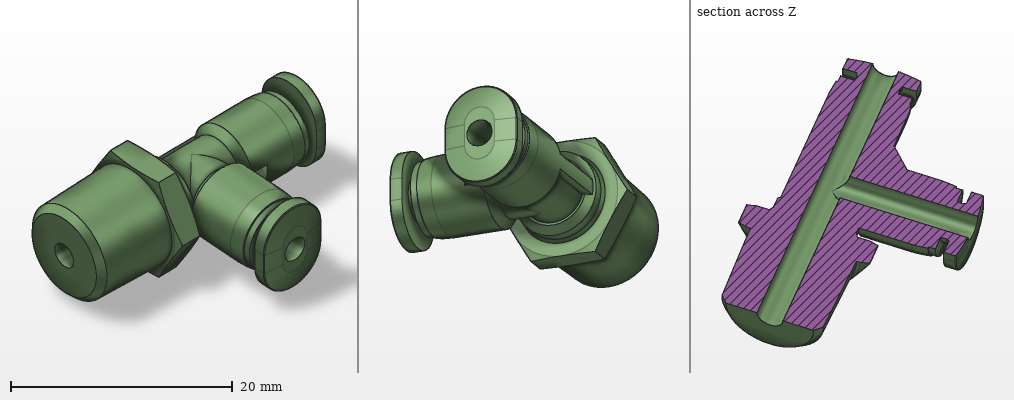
import cadquery as cq
import math


total_length = 29.4
port_reach = 13.6
thread_reach = total_length - port_reach

tube_radius = 3.0
sleeve_radius = 3.8
sleeve_start = 4.0
sleeve_cone_start = sleeve_start - (sleeve_radius - tube_radius)
taper_start = 9.15
taper_end = 10.65
taper_end_radius = 3.65
sleeve_top = 11.32
sleeve_top_radius = 3.5
neck_radius = 2.12
flare_start = 11.88
flare_radius = 2.2

collar_bottom = 12.1
collar_length = 9.2
collar_width = 7.15
collar_flat_radius = 1.47
dome_radius = 17.65
rim_chamfer = 0.1

shoulder_top = 2.7
shoulder_top_radius = 3.23
shoulder_cone_end = 3.25
shoulder_radius = 4.03
shoulder_flare_start = 4.32
shoulder_flare_radius = 4.25

hex_top = 4.73
hex_bottom = 7.3
hex_across_flats = 11.0
hex_chamfer_angle = 15.0

thread_root_radius = 5.15
thread_tip_radius = 4.9
tip_chamfer = 0.68

web_thickness = 1.47
gusset_leg = 9.6
bore_radius = 1.23


def cylinder_along_y(radius, y_low, y_high):
    return cq.Workplane("XZ", origin=(0, y_high, 0)).circle(radius).extrude(y_high - y_low)


def revolve_about_y(profile):
    return profile.close().revolve(360, (0, 0, 0), (0, 1, 0))


def onto_branch(shape):
    """Turn a shape built along +Y so that it lies along +X."""
    return shape.rotate((0, 0, 0), (0, 0, 1), -90)


def dome_drop(radius):
    """Fall of the crown at a radius, measured from the flat at its centre."""
    def sphere_height(r):
        return math.sqrt(dome_radius ** 2 - r ** 2)
    return sphere_height(collar_flat_radius) - sphere_height(radius)


def collar_half_profile(z):
    """Crowned half profile, from the port axis out to the collar side, in the plane at height z."""
    end_radius = collar_width / 2
    rim_radius = end_radius - rim_chamfer
    mid_radius = (collar_flat_radius + rim_radius) / 2
    rim_height = port_reach - dome_drop(rim_radius)
    return (
        cq.Workplane("XY", origin=(0, 0, z))
        .moveTo(0, collar_bottom)
        .lineTo(end_radius, collar_bottom)
        .lineTo(end_radius, rim_height - rim_chamfer)
        .lineTo(rim_radius, rim_height)
        .threePointArc((mid_radius, port_reach - dome_drop(mid_radius)), (collar_flat_radius, port_reach))
        .lineTo(0, port_reach)
        .close()
    )


def make_collar():
    """Two round ends joined by a straight middle, all sharing one half profile."""
    straight_length = collar_length - collar_width
    half_middle = collar_half_profile(-straight_length / 2).extrude(straight_length)
    collar = half_middle.union(half_middle.mirror("YZ"))
    for z in (-straight_length / 2, straight_length / 2):
        collar = collar.union(collar_half_profile(z).revolve(360, (0, 0, 0), (0, 1, 0)))
    return collar


def make_port():
    """Tube, sleeve, neck and release collar, rising along +Y from the axis crossing."""
    sleeve_bulge_radius = (
        (taper_end - taper_start) ** 2 + (sleeve_radius - taper_end_radius) ** 2
    ) / (2 * (sleeve_radius - taper_end_radius))
    bulge_mid_rise = (taper_end - taper_start) / 2
    bulge_mid_radius = (
        sleeve_radius - sleeve_bulge_radius + math.sqrt(sleeve_bulge_radius ** 2 - bulge_mid_rise ** 2)
    )
    body = revolve_about_y(
        cq.Workplane("XY")
        .moveTo(0, 0)
        .lineTo(tube_radius, 0)
        .lineTo(tube_radius, sleeve_cone_start)
        .lineTo(sleeve_radius, sleeve_start)
        .lineTo(sleeve_radius, taper_start)
        .threePointArc((bulge_mid_radius, taper_start + bulge_mid_rise), (taper_end_radius, taper_end))
        .lineTo(sleeve_top_radius, taper_end)
        .lineTo(sleeve_top_radius, sleeve_top)
        .lineTo(neck_radius, sleeve_top)
        .lineTo(neck_radius, flare_start)
        .lineTo(flare_radius, collar_bottom)
        .lineTo(0, collar_bottom)
    )
    return body.union(make_collar())


def make_branch():
    """Port along +X; equal tubes make it meet the run in a mitre."""
    return onto_branch(make_port())


def make_shoulder_and_thread():
    return revolve_about_y(
        cq.Workplane("XY")
        .moveTo(0, 0)
        .lineTo(tube_radius, 0)
        .lineTo(tube_radius, -shoulder_top)
        .lineTo(shoulder_top_radius, -shoulder_top)
        .lineTo(shoulder_radius, -shoulder_cone_end)
        .lineTo(shoulder_radius, -shoulder_flare_start)
        .lineTo(shoulder_flare_radius, -hex_top)
        .lineTo(shoulder_flare_radius, -hex_bottom)
        .lineTo(thread_root_radius, -hex_bottom)
        .lineTo(thread_tip_radius, tip_chamfer - thread_reach)
        .lineTo(thread_tip_radius - tip_chamfer, -thread_reach)
        .lineTo(0, -thread_reach)
    )


def make_hex():
    """Hex with corners on the X axis, its corners chamfered on both faces."""
    corner_radius = hex_across_flats / math.sqrt(3)
    flat_radius = hex_across_flats / 2
    corner_drop = (corner_radius - flat_radius) * math.tan(math.radians(hex_chamfer_angle))
    prism = (
        cq.Workplane("XZ", origin=(0, -hex_top, 0))
        .polygon(6, 2 * corner_radius)
        .extrude(hex_bottom - hex_top)
    )
    chamfer_envelope = revolve_about_y(
        cq.Workplane("XY")
        .moveTo(0, -hex_top)
        .lineTo(flat_radius, -hex_top)
        .lineTo(corner_radius, -hex_top - corner_drop)
        .lineTo(corner_radius, -hex_bottom + corner_drop)
        .lineTo(flat_radius, -hex_bottom)
        .lineTo(0, -hex_bottom)
    )
    return prism.intersect(chamfer_envelope)


def make_back_web():
    """Rib on the side away from the branch, flush with the sleeve surface."""
    slab = cq.Workplane("XY").box(
        sleeve_radius, sleeve_start + shoulder_cone_end, web_thickness, centered=(False, False, True)
    ).translate((-sleeve_radius, -shoulder_cone_end, 0))
    return slab.intersect(cylinder_along_y(sleeve_radius, -shoulder_cone_end, sleeve_start))


def make_gusset():
    """Plate filling the corner between the two sleeves, with a 45 degree outer edge."""
    return (
        cq.Workplane("XY", origin=(0, 0, -web_thickness / 2))
        .polyline([(0, 0), (gusset_leg, 0), (0, gusset_leg)])
        .close()
        .extrude(web_thickness)
    )


run_bore = cylinder_along_y(bore_radius, -thread_reach, port_reach)
branch_bore = onto_branch(cylinder_along_y(bore_radius, 0, port_reach))

result = (
    make_shoulder_and_thread()
    .union(make_hex())
    .union(make_port())
    .union(make_branch())
    .union(make_back_web())
    .union(make_gusset())
    .cut(run_bore)
    .cut(branch_bore)
)